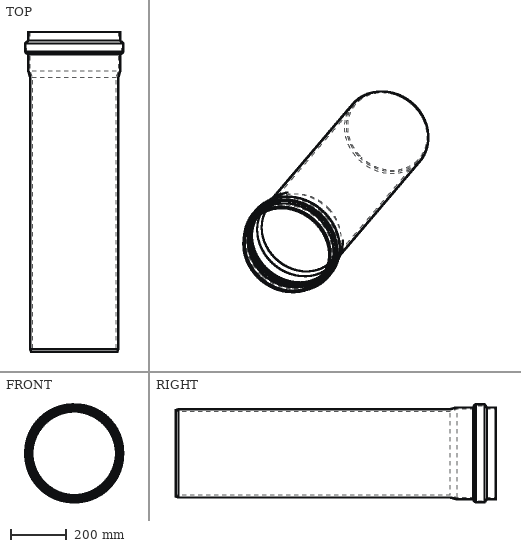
import cadquery as cq

length = 1144.0
pipe_diameter = 316.0
bore_diameter = 299.0
spigot_chamfer_length = 10.0
spigot_chamfer_depth = 3.0

socket_diameter = 330.0
socket_bore_diameter = 317.0
socket_depth = 140.0
socket_taper_length = 24.0

bead_diameter = 351.0
seal_groove_diameter = 340.0
mouth_to_bead = 32.0
bead_crest_length = 30.0
bead_front_length = 9.0
bead_rear_length = 6.0
bead_rear_drop = 3.0
bead_shoulder_length = 5.0

socket_base = length - socket_depth
taper_start = socket_base - socket_taper_length
bead_end = length - mouth_to_bead
crest_end = bead_end - bead_front_length
crest_start = crest_end - bead_crest_length
shoulder_end = crest_start - bead_rear_length
bead_start = shoulder_end - bead_shoulder_length


def socket_profile(pipe_radius, socket_radius, bead_radius):
    """Points (radius, Y) of a wall face from the pipe to the socket mouth."""
    return [
        (pipe_radius, taper_start),
        (socket_radius, socket_base),
        (socket_radius, bead_start),
        (bead_radius - bead_rear_drop, shoulder_end),
        (bead_radius, crest_start),
        (bead_radius, crest_end),
        (socket_radius, bead_end),
        (socket_radius, length),
    ]


pipe_radius = pipe_diameter / 2
bore_radius = bore_diameter / 2

outer_wall = [
    (pipe_radius - spigot_chamfer_depth, 0),
    (pipe_radius, spigot_chamfer_length),
] + socket_profile(pipe_radius, socket_diameter / 2, bead_diameter / 2)

inner_wall = [(bore_radius, 0)] + socket_profile(
    bore_radius, socket_bore_diameter / 2, seal_groove_diameter / 2
)

result = (
    cq.Workplane("XY")
    .polyline(outer_wall + inner_wall[::-1])
    .close()
    .revolve(360, (0, 0, 0), (0, 1, 0))
)